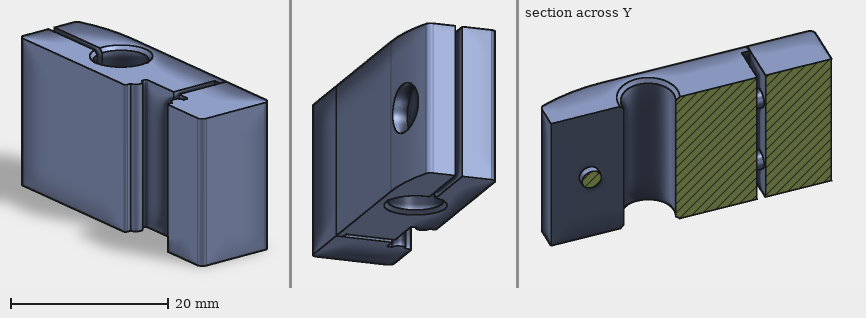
import cadquery as cq
import math

length = 38.0
depth = 11.0
height = 20.0
corner_radius = 0.8

crown_radius = 24.7
crown_start_x = 9.12

bore_x = 13.45
bore_y = 6.0
bore_diameter = 7.0
bore_mouth_diameter = 8.0
slit_bottom_y = 4.67
slit_width = 0.95

clamp_screw_x = 5.2
clamp_screw_diameter = 2.7
head_recess_diameter = 6.5
head_recess_floor_y = 9.0

channel_left_x = 22.1
channel_right_x = 30.8
channel_depth = 3.4
channel_top_radius = 0.2
channel_mouth_radius = 0.3
lobe_radius = 0.9
lobe_y = 1.8
lobe_center_inset = 0.1

gap_left_x = 27.8
gap_width = 1.15
lip_thickness = 1.0
lip_clearance = 0.08

jaw_screw_diameter = 2.5
jaw_screw_y = 6.4
jaw_screw_spacing = 10.05
selection_margin = 0.05
screw_embed = 0.38

gap_right_x = gap_left_x + gap_width
mid_z = height / 2


def box(x_min, x_max, y_min, y_max):
    """Full-height block between the given X and Y limits."""
    return cq.Workplane("XY").box(x_max - x_min, y_max - y_min, height, centered=False).translate(
        (x_min, y_min, 0)
    )


def cylinder_along_z(x, y, diameter):
    return cq.Workplane("XY").center(x, y).circle(diameter / 2).extrude(height)


def cylinder_along_y(x, z, diameter, y_min, y_max):
    solid = cq.Solid.makeCylinder(diameter / 2, y_max - y_min, cq.Vector(x, y_min, z), cq.Vector(0, 1, 0))
    return cq.Workplane(obj=solid)


def cylinder_along_x(y, z, diameter, x_min, x_max):
    solid = cq.Solid.makeCylinder(diameter / 2, x_max - x_min, cq.Vector(x_min, y, z), cq.Vector(1, 0, 0))
    return cq.Workplane(obj=solid)


def crown_y(x):
    """Height of the crown arc in Y at a position left of its tangent point."""
    return depth - crown_radius + math.sqrt(crown_radius**2 - (crown_start_x - x) ** 2)


def make_block():
    profile = (
        cq.Workplane("XY")
        .lineTo(length, 0)
        .lineTo(length, depth)
        .lineTo(crown_start_x, depth)
        .threePointArc((crown_start_x / 2, crown_y(crown_start_x / 2)), (0, crown_y(0)))
        .close()
    )
    return profile.extrude(height).edges("|Z and (<X or >X)").fillet(corner_radius)


def cut_channel(body):
    channel = box(channel_left_x, channel_right_x, 0, channel_depth)
    body = body.cut(channel.edges("|Z and >Y").fillet(channel_top_radius))
    for x in (channel_left_x, channel_right_x):
        mouth = cq.selectors.BoxSelector(
            (x - selection_margin, -selection_margin, 0),
            (x + selection_margin, selection_margin, height),
        )
        body = body.edges(mouth).fillet(channel_mouth_radius)
    for x in (channel_left_x - lobe_center_inset, channel_right_x + lobe_center_inset):
        body = body.union(cylinder_along_z(x, lobe_y, 2 * lobe_radius))
    return body


def cut_bore_and_slit(body):
    body = body.cut(box(0, bore_x, slit_bottom_y, slit_bottom_y + slit_width))
    chamfer = (bore_mouth_diameter - bore_diameter) / 2
    bore = cylinder_along_z(bore_x, bore_y, bore_diameter)
    for z, direction in ((0, 1), (height, -1)):
        cone = cq.Solid.makeCone(
            bore_mouth_diameter / 2,
            bore_diameter / 2,
            chamfer,
            cq.Vector(bore_x, bore_y, z),
            cq.Vector(0, 0, direction),
        )
        bore = bore.union(cq.Workplane(obj=cone))
    return body.cut(bore)


def cut_jaw_gap(body):
    lip_y = depth - lip_thickness
    body = body.cut(box(gap_left_x, gap_right_x, 0, lip_y))
    return body.cut(box(gap_right_x - lip_clearance, gap_right_x, lip_y, depth))


def add_screws(body):
    body = body.cut(
        cylinder_along_y(clamp_screw_x, mid_z, head_recess_diameter, head_recess_floor_y, depth)
    )
    clamp_screw = cylinder_along_y(
        clamp_screw_x,
        mid_z,
        clamp_screw_diameter,
        slit_bottom_y - screw_embed,
        slit_bottom_y + slit_width + screw_embed,
    )
    body = body.union(clamp_screw)
    for side in (-1, 1):
        jaw_screw = cylinder_along_x(
            jaw_screw_y,
            mid_z + side * jaw_screw_spacing / 2,
            jaw_screw_diameter,
            gap_left_x - screw_embed,
            gap_right_x + screw_embed,
        )
        body = body.union(jaw_screw)
    return body


block = make_block()
channelled = cut_channel(block)
bored = cut_bore_and_slit(channelled)
split = cut_jaw_gap(bored)
result = add_screws(split)